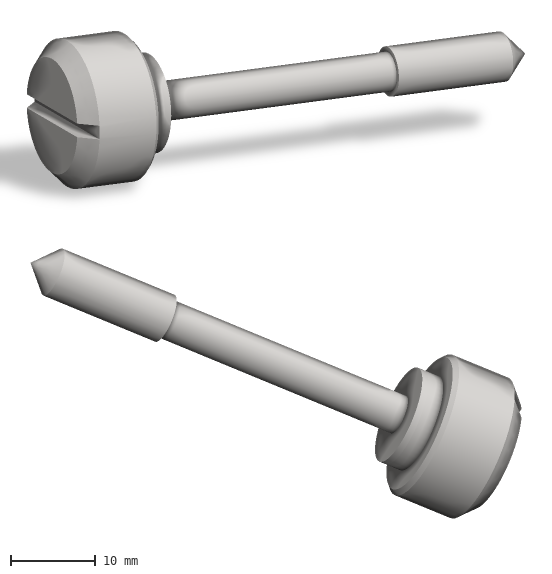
import cadquery as cq

total_length = 62.0

head_diameter = 18.0
head_length = 10.0
front_chamfer = 2.0
back_chamfer = 0.55
slot_width = 1.7
slot_depth = front_chamfer

collar_diameter = 12.0
collar_length = 2.0
washer_thickness = 0.8

shank_diameter = 4.8
tip_diameter = 6.0
tip_length = 18.0

collar_end = head_length + collar_length
tip_start = total_length - tip_length
cone_length = tip_diameter / 2
cone_start = total_length - cone_length


def make_turned_screw():
    """Revolve the half outline of the screw about the Y axis."""
    head_radius = head_diameter / 2
    collar_radius = collar_diameter / 2
    shank_radius = shank_diameter / 2
    tip_radius = tip_diameter / 2
    outline = [
        (0, 0),
        (head_radius - front_chamfer, 0),
        (head_radius, front_chamfer),
        (head_radius, head_length - back_chamfer),
        (head_radius - back_chamfer, head_length),
        (collar_radius, head_length),
        (collar_radius, collar_end),
        (shank_radius, collar_end),
        (shank_radius, tip_start),
        (tip_radius, tip_start),
        (tip_radius, cone_start),
        (0, total_length),
    ]
    return cq.Workplane("XY").polyline(outline).close().revolve(360, (0, 0), (0, 1))


def make_driver_slot():
    """Bar that cuts the driver slot across the head along X."""
    return cq.Workplane("XY").box(
        head_diameter, slot_depth, slot_width, centered=(True, False, True)
    )


def make_screw():
    return make_turned_screw().cut(make_driver_slot())


def make_washer():
    """Ring around the shank, seated on the end of the collar."""
    return (
        cq.Workplane("XZ", origin=(0, collar_end, 0))
        .circle(collar_diameter / 2)
        .circle(shank_diameter / 2)
        .extrude(-washer_thickness)
    )


screw = make_screw()
washer = make_washer()
result = cq.Compound.makeCompound([screw.val(), washer.val()])